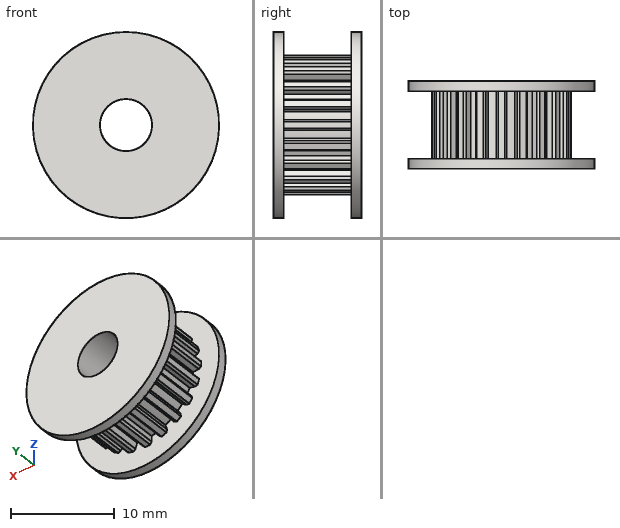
import cadquery as cq
import math

flange_diameter = 18.0
flange_thickness = 1.0
overall_width = 8.5
bore_diameter = 5.0
tooth_count = 20

tip_height = 6.73
tip_half_width = 0.32
shoulder_height = 6.45
flank_half_width = 0.5
root_radius = 5.76

belt_width = overall_width - 2 * flange_thickness
pitch_angle = 2 * math.pi / tooth_count


def disc(diameter, thickness, start_y):
    """Disc on the pulley axis, reaching from start_y toward +Y."""
    axis = cq.Vector(0, 1, 0)
    centre = cq.Vector(0, start_y, 0)
    return cq.Workplane(cq.Solid.makeCylinder(diameter / 2, thickness, centre, axis))


def ring_point(across, height, angle):
    """Turn a point of the upright tooth about the axis, giving its X and Z."""
    x = across * math.cos(angle) + height * math.sin(angle)
    z = height * math.cos(angle) - across * math.sin(angle)
    return (x, z)


def toothed_hub():
    """Belt section: bevelled flat-topped teeth joined by arcs at the root radius."""
    root_height = math.sqrt(root_radius**2 - flank_half_width**2)
    half_tooth = [
        (flank_half_width, root_height),
        (flank_half_width, shoulder_height),
        (tip_half_width, tip_height),
    ]
    tooth = [(-across, height) for across, height in half_tooth] + half_tooth[::-1]

    profile = cq.Workplane("XZ", origin=(0, belt_width / 2, 0)).moveTo(*tooth[0])
    for index in range(tooth_count):
        angle = index * pitch_angle
        for across, height in tooth[1:]:
            profile = profile.lineTo(*ring_point(across, height, angle))
        groove_middle = ring_point(0, root_radius, angle + pitch_angle / 2)
        next_tooth = ring_point(*tooth[0], angle + pitch_angle)
        profile = profile.threePointArc(groove_middle, next_tooth)
    return profile.close().extrude(belt_width)


pulley = toothed_hub()
for start_y in (-overall_width / 2, belt_width / 2):
    pulley = pulley.union(disc(flange_diameter, flange_thickness, start_y))

result = pulley.cut(disc(bore_diameter, overall_width, -overall_width / 2))